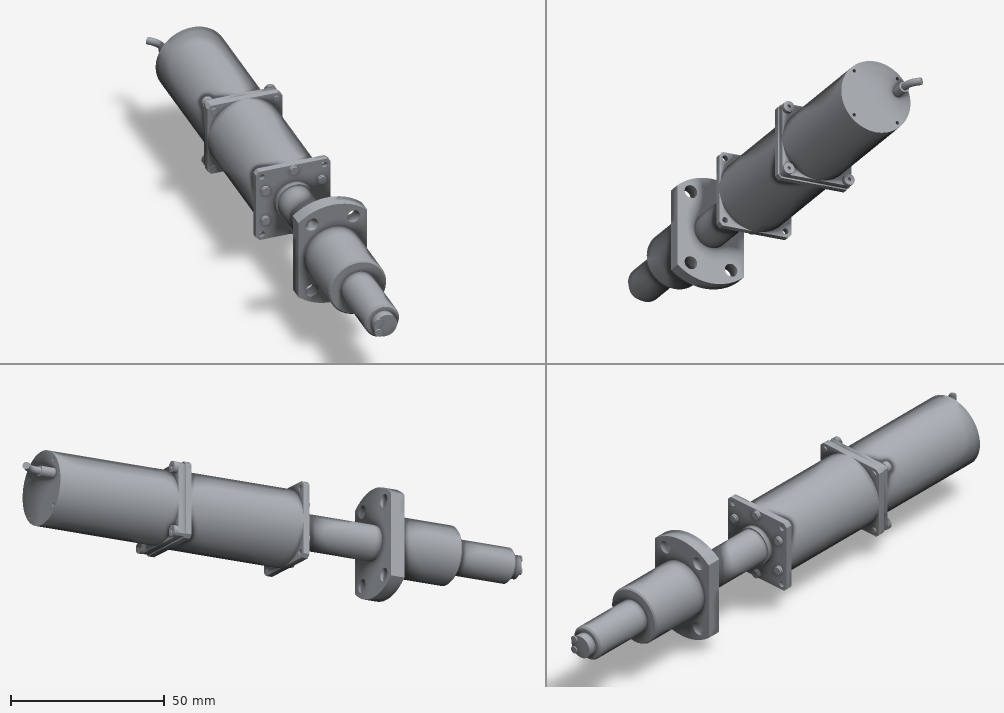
import math

import cadquery as cq


motor_length = 44.2
motor_flange_thickness = 2.3
gearbox_length = 46.4
gearbox_flange_thickness = 2.3
bearing_boss_length = 1.8
nut_rear_x = 124.0
nut_flange_thickness = 5.0
nut_length = 28.0
screw_end_x = 174.4
journal_length = 2.9
drive_pin_protrusion = 0.48

motor_diameter = 25.0
motor_flange_width = 25.0
motor_flange_chamfer = 0.75
gearbox_diameter = 26.0
gearbox_flange_width = 26.0
gearbox_flange_chamfer = 1.2
bearing_boss_diameter = 13.24
screw_diameter = 12.0
screw_end_chamfer = 0.6
journal_diameter = 8.0
nut_diameter = 20.0
nut_end_chamfer = 0.5
nut_flange_diameter = 37.0
nut_flange_width = 24.0
nut_hole_diameter = 4.5
nut_hole_circle_radius = 14.5
nut_hole_angles = (60, 120, 240, 300)

corner_screw_offset = 10.9
corner_head_diameter = 3.8
corner_head_height = 1.7
corner_socket_diameter = 1.25
corner_socket_depth = 1.0
corner_shank_diameter = 2.0
corner_shank_protrusion = 0.5
front_flange_hole_diameter = 2.0

cover_head_count = 6
cover_head_rim_diameter = 3.1
cover_head_rim_height = 0.7
cover_head_diameter = 2.7
cover_head_height = 1.2
cover_head_circle_radius = 11.35

rear_hole_diameter = 1.25
rear_hole_depth = 2.0
rear_hole_offset = 7.78

cable_y = -7.8
cable_z = 3.0
gland_diameter = 3.5
gland_length = 5.2
cable_diameter = 2.5
cable_straight_length = 1.2
cable_bend_radius = 6.0
cable_bend_angle = 45.0
cable_tip_length = 1.75

drive_pin_diameter = 2.5
drive_pin_y = -2.6
drive_pin_z = 2.0

joint_x = motor_length + motor_flange_thickness
gearbox_front_x = joint_x + gearbox_length
front_flange_x = gearbox_front_x - gearbox_flange_thickness
joint_flange_end_x = joint_x + gearbox_flange_thickness
journal_end_x = screw_end_x + journal_length


def cross_section(x):
    """Workplane across the drive axis at x; local coordinates are (Y, Z)."""
    return cq.Workplane("YZ", origin=(x, 0, 0))


def rods(x_start, x_end, diameter, centres=((0, 0),)):
    """Cylinders parallel to the drive axis at the given (Y, Z) centres."""
    return cross_section(x_start).pushPoints(centres).circle(diameter / 2).extrude(x_end - x_start)


def square_corners(offset):
    return [(y, z) for y in (-offset, offset) for z in (-offset, offset)]


def on_circle(radius, angles):
    """(Y, Z) points on a circle about the drive axis, angles from +Y in degrees."""
    return [(radius * math.cos(math.radians(a)), radius * math.sin(math.radians(a))) for a in angles]


def square_flange(x_start, thickness, width, chamfer):
    return cross_section(x_start).rect(width, width).extrude(thickness).edges("|X").chamfer(chamfer)


def make_motor():
    flange = square_flange(motor_length, motor_flange_thickness, motor_flange_width, motor_flange_chamfer)
    rear_holes = rods(0, rear_hole_depth, rear_hole_diameter, square_corners(rear_hole_offset))
    return rods(0, joint_x, motor_diameter).union(flange).cut(rear_holes)


def make_gearbox():
    body = rods(joint_x, gearbox_front_x, gearbox_diameter)
    for x in (joint_x, front_flange_x):
        body = body.union(
            square_flange(x, gearbox_flange_thickness, gearbox_flange_width, gearbox_flange_chamfer)
        )
    front_holes = rods(
        front_flange_x, gearbox_front_x, front_flange_hole_diameter, square_corners(corner_screw_offset)
    )
    boss = rods(gearbox_front_x, gearbox_front_x + bearing_boss_length, bearing_boss_diameter)
    return body.cut(front_holes).union(boss)


def make_corner_screws():
    centres = square_corners(corner_screw_offset)
    head_x = motor_length - corner_head_height
    heads = rods(head_x, motor_length, corner_head_diameter, centres)
    sockets = rods(head_x, head_x + corner_socket_depth, corner_socket_diameter, centres)
    shank_end_x = joint_flange_end_x + corner_shank_protrusion
    shanks = rods(motor_length, shank_end_x, corner_shank_diameter, centres)
    return heads.cut(sockets).union(shanks)


def make_cover_heads():
    angles = [90 + i * 360 / cover_head_count for i in range(cover_head_count)]
    centres = on_circle(cover_head_circle_radius, angles)
    rims = rods(gearbox_front_x, gearbox_front_x + cover_head_rim_height, cover_head_rim_diameter, centres)
    heads = rods(gearbox_front_x, gearbox_front_x + cover_head_height, cover_head_diameter, centres)
    return rims.union(heads)


def make_screw():
    shaft = rods(gearbox_front_x, screw_end_x, screw_diameter).faces(">X").edges().chamfer(screw_end_chamfer)
    journal = rods(screw_end_x, journal_end_x, journal_diameter)
    pin_centres = [(drive_pin_y, drive_pin_z), (drive_pin_y, -drive_pin_z)]
    pins = rods(journal_end_x, journal_end_x + drive_pin_protrusion, drive_pin_diameter, pin_centres)
    return shaft.union(journal).union(pins)


def make_nut():
    flange_end_x = nut_rear_x + nut_flange_thickness
    flange = rods(nut_rear_x, flange_end_x, nut_flange_diameter)
    flats = cross_section(nut_rear_x).rect(nut_flange_width, nut_flange_diameter).extrude(nut_flange_thickness)
    hole_centres = on_circle(nut_hole_circle_radius, nut_hole_angles)
    holes = rods(nut_rear_x, flange_end_x, nut_hole_diameter, hole_centres)
    barrel = rods(nut_rear_x, nut_rear_x + nut_length, nut_diameter)
    barrel = barrel.faces(">X").edges().chamfer(nut_end_chamfer)
    return flange.intersect(flats).cut(holes).union(barrel)


def make_cable():
    """Gland, then a cable that bends from -X towards -Y and ends in a straight tip."""
    gland = rods(-gland_length, 0, gland_diameter, [(cable_y, cable_z)])
    angle = math.radians(cable_bend_angle)
    bend_start_x = -gland_length - cable_straight_length

    def bend_point(turn):
        x = bend_start_x - cable_bend_radius * math.sin(turn)
        y = cable_y - cable_bend_radius * (1 - math.cos(turn))
        return (x, y)

    bend_end = bend_point(angle)
    tip_end = (
        bend_end[0] - cable_tip_length * math.cos(angle),
        bend_end[1] - cable_tip_length * math.sin(angle),
    )
    path = (
        cq.Workplane("XY", origin=(0, 0, cable_z))
        .moveTo(-gland_length, cable_y)
        .lineTo(bend_start_x, cable_y)
        .threePointArc(bend_point(angle / 2), bend_end)
        .lineTo(*tip_end)
    )
    profile = cross_section(-gland_length).center(cable_y, cable_z).circle(cable_diameter / 2)
    return gland.union(profile.sweep(path))


result = (
    make_motor()
    .union(make_gearbox())
    .union(make_corner_screws())
    .union(make_cover_heads())
    .union(make_screw())
    .union(make_nut())
    .union(make_cable())
)